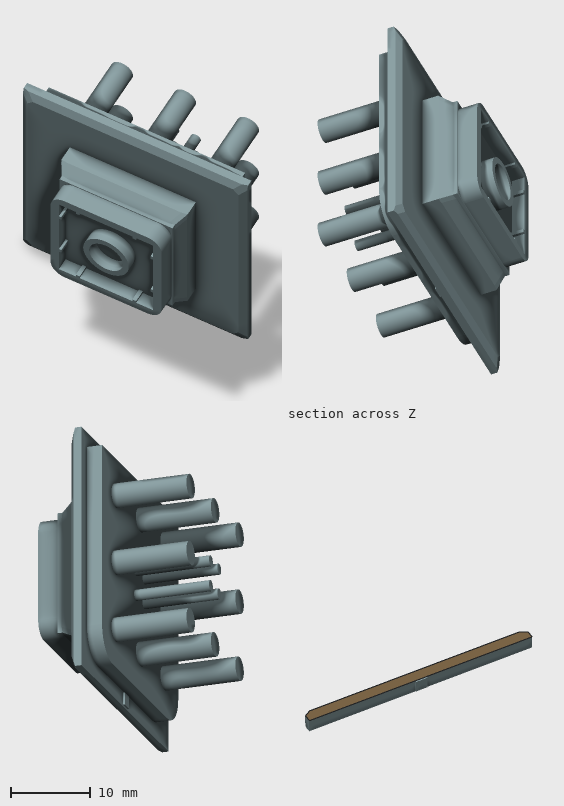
import cadquery as cq


plate_size = 32
plate_thickness = 1.65
plate_bevel_depth = 0.58
plate_bevel_inset = 0.95
plate_corner_reach_back = 0.77
plate_corner_reach_front = 2.7

block_size = 28.0
block_thickness = 2.0
block_corner_radius = 4.0

pad_size = 1.6
pad_height = 0.25
pad_centre_z = -15.0

pin_length = 10.0
pin_diameter = 3.1
pin_pitch = 9.0
core_pin_diameter = 1.4
core_pin_x = 1.55
core_pin_z = 1.65

boss_size = 18.0
boss_straight = 2.3
boss_bevel_depth = 1.57
neck_size = 16.1
neck_length = 0.5
boss_corner_lift = 0.13
boss_facet_reach = 0.83

collar_size = 15.8
collar_length = 2.65
collar_corner_radius = 2.0
pocket_size = 13.45
pocket_depth = 1.75
ring_outer_diameter = 6.5
ring_inner_diameter = 4.8

rib_width = 0.55
rib_height = 0.35
rib_offset = 4.03
side_rib_low_z = -2.8

block_back = block_thickness
plate_front = -plate_thickness
plate_bevel_start = plate_front + plate_bevel_depth
boss_bevel_start = plate_front - boss_straight
neck_start = boss_bevel_start - boss_bevel_depth
neck_front = neck_start - neck_length
collar_front = neck_front - collar_length


def section(y):
    """Sketch plane at the given y whose extrusions run toward -Y, with local X, Y = X, Z."""
    return cq.Workplane("XZ", origin=(0, y, 0))


def square_prism(size, y_back, y_front):
    return section(y_back).rect(size, size).extrude(y_back - y_front)


def square_frustum(back_size, front_size, y_back, y_front):
    return (
        section(y_back)
        .rect(back_size, back_size)
        .workplane(offset=y_back - y_front)
        .rect(front_size, front_size)
        .loft(ruled=True)
    )


def cylinders(points, diameter, y_back, y_front):
    return section(y_back).pushPoints(points).circle(diameter / 2).extrude(y_back - y_front)


def tetrahedron(*corners):
    points = [cq.Vector(*corner) for corner in corners]
    faces = []
    for skipped in range(4):
        triangle = points[:skipped] + points[skipped + 1:]
        faces.append(cq.Face.makeFromWires(cq.Wire.makePolygon(triangle, close=True)))
    return cq.Workplane(cq.Solid.makeSolid(cq.Shell.makeShell(faces)))


def cut_at_corners(body, cutter):
    """Cut the same shape from all four corners of a square layer."""
    for turn in range(4):
        body = body.cut(cutter.rotate((0, 0, 0), (0, 1, 0), 90 * turn))
    return body


def make_plate():
    plate = square_prism(plate_size, 0, plate_bevel_start)
    plate_front_size = plate_size - 2 * plate_bevel_inset
    plate = plate.union(square_frustum(plate_size, plate_front_size, plate_bevel_start, plate_front))

    slope = plate_bevel_depth / (plate_corner_reach_front - plate_corner_reach_back)
    corner_y = plate_bevel_start + slope * plate_corner_reach_back
    reach = 2 * plate_corner_reach_front
    reach_y = corner_y - slope * reach
    half = plate_size / 2
    cutter = tetrahedron(
        (-half, corner_y, half),
        (-half + reach, reach_y, half),
        (-half, reach_y, half - reach),
        (-half, reach_y, half),
    )
    return cut_at_corners(plate, cutter)


def make_block():
    block = square_prism(block_size, block_back, 0)
    block = block.edges("|Y and <Z").fillet(block_corner_radius)
    pad = (
        section(pad_height)
        .center(0, pad_centre_z)
        .rect(pad_size, pad_size)
        .extrude(pad_height)
    )
    return block.union(pad)


def make_pins():
    pin_back = block_back + pin_length
    steps = (-pin_pitch, 0, pin_pitch)
    outer_points = [(x, z) for x in steps for z in steps if (x, z) != (0, 0)]
    core_points = [(x, z) for x in (-core_pin_x, core_pin_x) for z in (-core_pin_z, core_pin_z)]
    pins = cylinders(outer_points, pin_diameter, pin_back, 0)
    return pins.union(cylinders(core_points, core_pin_diameter, pin_back, 0))


def make_boss():
    boss = square_prism(boss_size, plate_front, boss_bevel_start)
    boss = boss.union(square_frustum(boss_size, neck_size, boss_bevel_start, neck_start))

    inset = (boss_size - neck_size) / 2
    slope_along = boss_corner_lift / boss_facet_reach
    slope_inward = (boss_bevel_depth - slope_along * inset) / inset
    reach = boss_facet_reach + 2 * inset
    half = boss_size / 2
    corner_y = boss_bevel_start + boss_corner_lift
    edge_y = corner_y - slope_along * reach
    diagonal_y = edge_y - slope_inward * reach
    corner = (-half, corner_y, half)
    on_diagonal = (-half + reach, diagonal_y, half - reach)
    below_corner = (-half, diagonal_y, half)
    edge_points = [(-half + reach, edge_y, half), (-half, edge_y, half - reach)]
    for edge_point in edge_points:
        boss = cut_at_corners(boss, tetrahedron(corner, edge_point, on_diagonal, below_corner))
    return boss.union(square_prism(neck_size, boss_bevel_start, neck_front))


def make_collar():
    collar = square_prism(collar_size, neck_front, collar_front)
    collar = collar.edges("|Y").fillet(collar_corner_radius)
    pocket_floor = collar_front + pocket_depth
    collar = collar.cut(square_prism(pocket_size, pocket_floor, collar_front))

    ring = (
        section(pocket_floor)
        .circle(ring_outer_diameter / 2)
        .circle(ring_inner_diameter / 2)
        .extrude(pocket_depth)
    )
    collar = collar.union(ring)

    wall = pocket_size / 2
    for side in (-wall, wall):
        floor_and_roof = [(x, side) for x in (-rib_offset, rib_offset)]
        side_walls = [(side, z) for z in (side_rib_low_z, rib_offset)]
        for points, width, height in (
            (floor_and_roof, rib_width, 2 * rib_height),
            (side_walls, 2 * rib_height, rib_width),
        ):
            ribs = section(pocket_floor).pushPoints(points).rect(width, height).extrude(pocket_depth)
            collar = collar.union(ribs)
    return collar


result = make_plate()
for piece in (make_block(), make_pins(), make_boss(), make_collar()):
    result = result.union(piece)